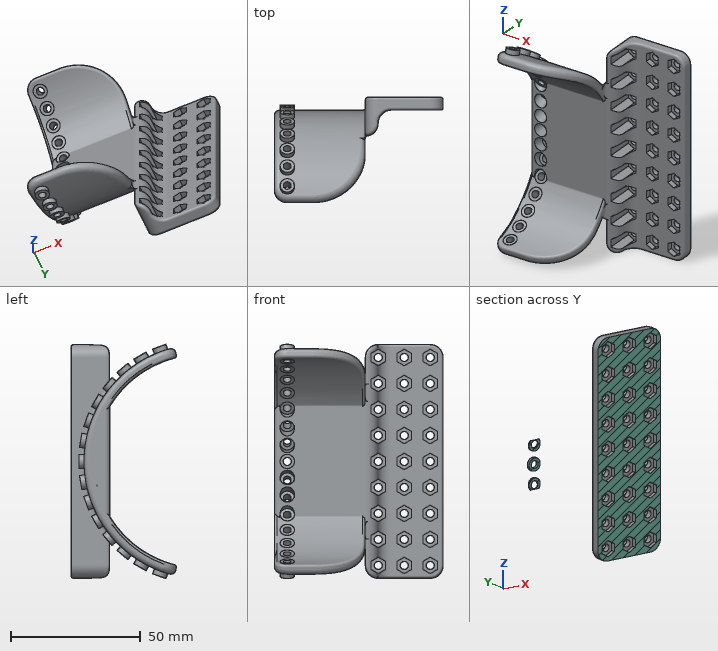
import cadquery as cq
import math

PLATE_HEIGHT = 90.0
PLATE_THICKNESS = 5.0
BLEND_RADIUS = 5.0
CORNER_RADIUS = 5.0
PLATE_EDGE_FILLET = 1.0
SEAM_MARGIN = 1.0

CRADLE_WIDTH = 35.0
OUTER_RADIUS = 45.0
WALL = 4.0
INNER_RADIUS = OUTER_RADIUS - WALL
ARM_ANGLE = 77.0
ARM_NEAR_CORNER = 5.0
ARM_FAR_CORNER = 20.0
OUTER_FILLET = 2.0
INNER_FILLET = 1.0
FLOOR_EDGE_FILLET = 2.0
FLOOR_FILLET = 1.0
ROOT_FILLET = 1.0

HOLE_DIAMETER = 3.0
HOLE_PITCH = 10.0
HOLE_COLUMNS = 3
HOLE_ROWS = 9
NUT_ACROSS_FLATS = 5.5
NUT_FLOOR_Y = -2.5

BOSS_DIAMETER = 5.5
BOSS_RADIUS = 47.0
BOSS_FOOT_RADIUS = 43.0
BOSS_X = 5.0
BOSS_STEP = 10.0
BOSSES_PER_SIDE = 7
BORE_END_RADIUS = 30.0

FLANK_DEPTH = PLATE_THICKNESS + 2 * BLEND_RADIUS
PLATE_LEFT = CRADLE_WIDTH
PLATE_RIGHT = PLATE_LEFT + HOLE_COLUMNS * HOLE_PITCH
FLOOR_Y = -FLANK_DEPTH
BLEND_Y = FLOOR_Y + BLEND_RADIUS
AXIS_Y = -PLATE_THICKNESS - OUTER_RADIUS
ROOT_RADIUS = OUTER_RADIUS + ROOT_FILLET
ROOT_HALF_HEIGHT = math.sqrt(ROOT_RADIUS**2 - (FLOOR_Y - AXIS_Y) ** 2)
ROOT_ANGLE = math.degrees(math.asin(ROOT_HALF_HEIGHT / ROOT_RADIUS))


def polar(radius, angle):
    """(Y, Z) point at an angle from +Y around the cradle axis."""
    a = math.radians(angle)
    return AXIS_Y + radius * math.cos(a), radius * math.sin(a)


def make_plate():
    arc_mid = BLEND_RADIUS * math.sqrt(0.5)
    blend_x = PLATE_LEFT + BLEND_RADIUS
    flat_x = blend_x + BLEND_RADIUS
    plate = (
        cq.Workplane("XY")
        .workplane(offset=-PLATE_HEIGHT / 2)
        .moveTo(PLATE_LEFT, 0)
        .lineTo(PLATE_LEFT, FLOOR_Y)
        .threePointArc((PLATE_LEFT + arc_mid, BLEND_Y - arc_mid), (blend_x, BLEND_Y))
        .threePointArc((flat_x - arc_mid, BLEND_Y + arc_mid), (flat_x, -PLATE_THICKNESS))
        .lineTo(PLATE_RIGHT, -PLATE_THICKNESS)
        .lineTo(PLATE_RIGHT, 0)
        .close()
        .extrude(PLATE_HEIGHT)
    )
    outline = (
        cq.Workplane("XZ")
        .center((PLATE_LEFT + PLATE_RIGHT) / 2, 0)
        .rect(PLATE_RIGHT - PLATE_LEFT, PLATE_HEIGHT)
        .extrude(FLANK_DEPTH)
        .edges("|Y")
        .fillet(CORNER_RADIUS)
    )
    plate = plate.intersect(outline)

    crossing_seams = cq.selectors.BoxSelector(
        (blend_x - SEAM_MARGIN, FLOOR_Y, -SEAM_MARGIN), (flat_x + SEAM_MARGIN, 0, SEAM_MARGIN)
    )
    rims = cq.StringSyntaxSelector("not |Y") - crossing_seams
    rounded = plate.edges(rims).fillet(PLATE_EDGE_FILLET)

    cradle_stretch = cq.Workplane("XY").box(
        2 * BLEND_RADIUS, 2 * BLEND_RADIUS, 2 * ROOT_HALF_HEIGHT
    )
    return rounded.union(plate.intersect(cradle_stretch.translate((PLATE_LEFT, FLOOR_Y, 0))))


def make_arc_band(inner, outer, angle, width):
    """Tube sector from X = 0, spanning +/-angle about +Y."""
    return (
        cq.Workplane("YZ")
        .moveTo(*polar(outer, -angle))
        .threePointArc(polar(outer, 0), polar(outer, angle))
        .lineTo(*polar(inner, angle))
        .threePointArc(polar(inner, 0), polar(inner, -angle))
        .close()
        .extrude(width)
    )


def make_arm_outline():
    """Prism along the radius at one arm's end; rounds that arm's two corners."""
    reach = 2 * OUTER_RADIUS
    return (
        cq.Workplane("XZ", origin=(CRADLE_WIDTH / 2, AXIS_Y, -reach / 2))
        .rect(CRADLE_WIDTH, reach)
        .extrude(OUTER_RADIUS + WALL, both=True)
        .edges("|Y and >Z and <X")
        .fillet(ARM_NEAR_CORNER)
        .edges("|Y and >Z and >X")
        .fillet(ARM_FAR_CORNER)
        .rotate((0, AXIS_Y, 0), (1, AXIS_Y, 0), ARM_ANGLE)
    )


def make_shell():
    shell = make_arc_band(INNER_RADIUS, OUTER_RADIUS, ARM_ANGLE, CRADLE_WIDTH)
    arm_outline = make_arm_outline()
    shell = shell.intersect(arm_outline).intersect(arm_outline.mirror("XY"))
    outermost = cq.selectors.CenterNthSelector(cq.Vector(0, 1, 0), -1)
    next_inward = cq.selectors.CenterNthSelector(cq.Vector(0, 1, 0), -2)
    shell = shell.faces("%CYLINDER").faces(outermost).edges().fillet(OUTER_FILLET)
    return shell.faces("%CYLINDER").faces(next_inward).edges().fillet(INNER_FILLET)


def make_floor():
    """Flat-faced filling between the cradle wall and the plane of the flank's front."""
    radius = INNER_RADIUS + INNER_FILLET
    half_chord = math.sqrt(radius**2 - (FLOOR_Y - AXIS_Y) ** 2)
    floor = (
        cq.Workplane("YZ")
        .moveTo(FLOOR_Y, -half_chord)
        .threePointArc((AXIS_Y + radius, 0), (FLOOR_Y, half_chord))
        .close()
        .extrude(CRADLE_WIDTH)
    )
    return floor.edges("<X and <Y").fillet(FLOOR_EDGE_FILLET)


def make_floor_blend():
    """Concave fillet along the upper seam between the floor and the curved wall."""
    centre_y = FLOOR_Y - FLOOR_FILLET
    angle = math.degrees(math.acos((centre_y - AXIS_Y) / (INNER_RADIUS - FLOOR_FILLET)))
    floor_z = (INNER_RADIUS - FLOOR_FILLET) * math.sin(math.radians(angle))
    mid_angle = math.radians(angle / 2)
    middle = (
        centre_y + FLOOR_FILLET * math.cos(mid_angle),
        floor_z + FLOOR_FILLET * math.sin(mid_angle),
    )
    return (
        cq.Workplane("YZ", origin=(FLOOR_EDGE_FILLET, 0, 0))
        .moveTo(FLOOR_Y, floor_z)
        .threePointArc(middle, polar(INNER_RADIUS, angle))
        .lineTo(*polar(INNER_RADIUS + INNER_FILLET, angle))
        .lineTo(FLOOR_Y + FLOOR_FILLET, floor_z)
        .close()
        .extrude(CRADLE_WIDTH - INNER_FILLET - FLOOR_EDGE_FILLET)
    )


def make_cradle():
    blend = make_floor_blend()
    return make_shell().union(make_floor()).union(blend).union(blend.mirror("XY"))


def make_root():
    """Joint of the cradle wall with the plate flank, with a concave fillet outside."""
    sag = ROOT_FILLET * (1 - math.sqrt(0.5))
    return (
        cq.Workplane("XY")
        .moveTo(CRADLE_WIDTH - OUTER_FILLET, AXIS_Y + OUTER_RADIUS - OUTER_FILLET)
        .lineTo(CRADLE_WIDTH - OUTER_FILLET, AXIS_Y + OUTER_RADIUS)
        .lineTo(CRADLE_WIDTH - ROOT_FILLET, AXIS_Y + OUTER_RADIUS)
        .threePointArc(
            (CRADLE_WIDTH - sag, AXIS_Y + OUTER_RADIUS + sag),
            (CRADLE_WIDTH, AXIS_Y + ROOT_RADIUS),
        )
        .lineTo(CRADLE_WIDTH, AXIS_Y + OUTER_RADIUS - OUTER_FILLET)
        .close()
        .revolve(2 * ROOT_ANGLE, (0, AXIS_Y, 0), (1, AXIS_Y, 0))
        .rotate((0, AXIS_Y, 0), (1, AXIS_Y, 0), -ROOT_ANGLE)
    )


def make_flank_blend():
    """Concave fillet between the cradle's right end face and the plate's convex arc."""
    centre_x = CRADLE_WIDTH + ROOT_FILLET
    drop = math.sqrt((BLEND_RADIUS + ROOT_FILLET) ** 2 - ROOT_FILLET**2)
    centre_y = BLEND_Y - drop
    on_arc = BLEND_RADIUS / (BLEND_RADIUS + ROOT_FILLET)
    arc_end = (CRADLE_WIDTH + ROOT_FILLET * on_arc, BLEND_Y - drop * on_arc)
    prism = (
        cq.Workplane("XY")
        .moveTo(CRADLE_WIDTH, centre_y)
        .radiusArc(arc_end, ROOT_FILLET)
        .lineTo(arc_end[0], FLOOR_Y + ROOT_FILLET)
        .lineTo(CRADLE_WIDTH, FLOOR_Y + ROOT_FILLET)
        .close()
        .extrude(ROOT_HALF_HEIGHT, both=True)
    )
    wall = make_arc_band(INNER_RADIUS + INNER_FILLET, ROOT_RADIUS, ROOT_ANGLE, centre_x)
    return prism.intersect(wall)


def make_radial_cylinder(diameter, start_radius, end_radius, angle):
    """Cylinder pointing away from the cradle axis, in the row of bosses."""
    return (
        cq.Workplane("XZ", origin=(BOSS_X, AXIS_Y + start_radius, 0))
        .circle(diameter / 2)
        .extrude(start_radius - end_radius)
        .rotate((0, AXIS_Y, 0), (1, AXIS_Y, 0), angle)
    )


def add_boss_row(body):
    angles = [BOSS_STEP * i for i in range(-BOSSES_PER_SIDE, BOSSES_PER_SIDE + 1)]
    for angle in angles:
        boss = make_radial_cylinder(BOSS_DIAMETER, BOSS_FOOT_RADIUS, BOSS_RADIUS, angle)
        body = body.union(boss)
    for angle in angles:
        bore = make_radial_cylinder(BOSS_DIAMETER, BORE_END_RADIUS, INNER_RADIUS, angle)
        hole = make_radial_cylinder(HOLE_DIAMETER, BORE_END_RADIUS, BOSS_RADIUS, angle)
        body = body.cut(bore).cut(hole)
    return body


def cut_plate_holes(body):
    nut_diagonal = NUT_ACROSS_FLATS / math.cos(math.pi / 6)
    first_x = PLATE_LEFT + HOLE_PITCH / 2
    centres = [
        (first_x + HOLE_PITCH * column, HOLE_PITCH * (row - (HOLE_ROWS - 1) / 2))
        for column in range(HOLE_COLUMNS)
        for row in range(HOLE_ROWS)
    ]
    holes = (
        cq.Workplane("XZ")
        .pushPoints(centres)
        .circle(HOLE_DIAMETER / 2)
        .extrude(FLANK_DEPTH)
    )
    nut = (
        cq.Workplane("XZ", origin=(0, NUT_FLOOR_Y, 0))
        .polygon(6, nut_diagonal)
        .extrude(FLANK_DEPTH)
        .rotate((0, 0, 0), (0, 1, 0), 90)
    )
    for x, z in centres:
        body = body.cut(nut.translate((x, 0, z)))
    return body.cut(holes)


def make_part():
    body = make_cradle().union(make_root()).union(make_plate()).union(make_flank_blend())
    return cut_plate_holes(add_boss_row(body))


result = make_part()